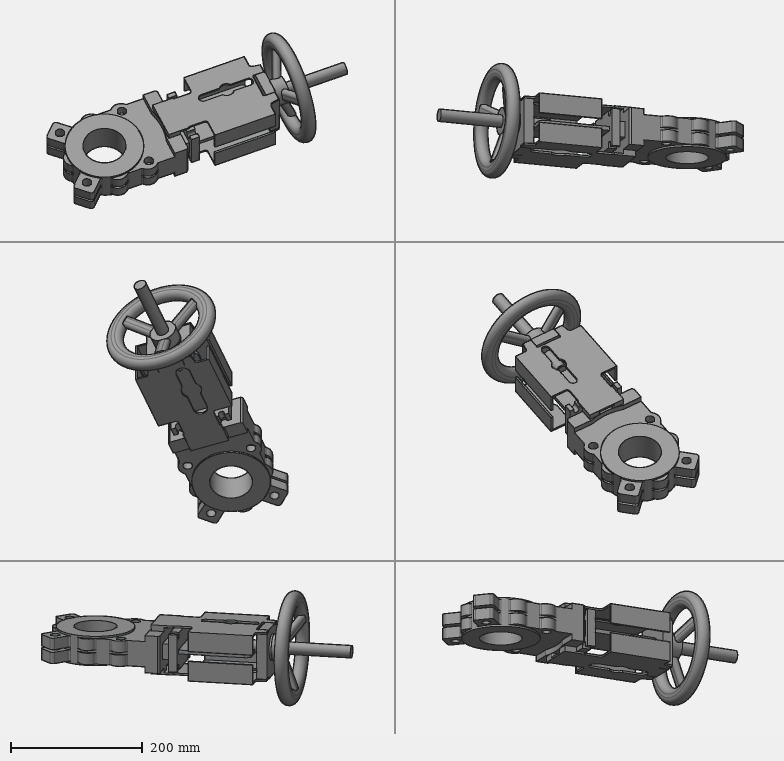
import cadquery as cq
import math


BORE_R = 32.5
SEAT_R = 60.0
SEAT_HALF = 23.0
BODY_HALF_WIDTH = 60.2
OUTLINE_TOLERANCE = 0.05
BODY_HALF = 20.0
BOLT_CIRCLE_R = 72.5
BOLT_HOLE_R = 7.0
BLIND_HOLE_DEPTH = 14.0
EAR_R = 16.0
UPPER_EAR_Y = 49.5
EAR_REACH = 66.5
LUG_WIDTH = 33.0
LUG_REACH = 89.0
LUG_CORNER_R = 5.0
LUG_ANGLES = (225, 315)
EAR_FILLET = 3.5
EAR_GROOVE = 4.2

BOX_BOTTOM = 90.5
BOX_TOP = 113.0
BOX_HALF = 29.0
BOX_CORNER = 3.0
BOX_RELIEF_R = 94.5

GLAND_BOTTOM = 124.0
GLAND_TOP = 137.0
GLAND_HALF_WIDTH = 46.5
GLAND_SLOT_X = 35.0
GLAND_SLOT_R = 4.45
GLAND_SLOT_DEPTH = 9.0
NECK_HALF_WIDTH = 39.0
NECK_HALF = 12.2

GATE_HALF_WIDTH = 36.2
GATE_THICKNESS = 6.0
GATE_TOP = 249.0
GATE_CORNER_R = 9.0

COVER_HALF = 38.5
COVER_THICKNESS = 3.05
COVER_TOP = 273.5
COVER_SHOULDER = 257.5
COVER_WING_BOTTOM = 157.0
COVER_STEP = 127.5
COVER_BOTTOM = 93.0
COVER_TOP_HALF_WIDTH = 35.5
COVER_SHOULDER_HALF_WIDTH = 38.0
COVER_WING_HALF_WIDTH = 59.5
COVER_NECK_HALF_WIDTH = 28.5
COVER_FOOT_HALF_WIDTH = 30.5
COVER_FILLET = 4.5
FLANGE_END = 7.75
FOOT_GAP_HALF_WIDTH = 11.5
FOOT_EDGE_R = 2.5
SLOT_X = -12.5
SLOT_HALF_WIDTH = 6.5
SLOT_BOTTOM = 162.0
SLOT_TOP = 251.5
SLOT_EYE_Y = 207.5
SLOT_EYE_R = 11.5
LOWER_SLOT_MARGIN = 4.2

YOKE_BOTTOM = 258.5
YOKE_TOP = 274.5
YOKE_HALF = COVER_HALF - COVER_THICKNESS
TAB_HALF_WIDTH = 20.5
TAB_CLEARANCE = 0.5
UPPER_NOTCH_BOTTOM = 254.5
NOTCH_CORNER = 2.0

TOTAL_LENGTH = 470.5
STEM_Z = 6.0
STEM_R = 9.65
STEM_BOTTOM = 220.5
STEM_CHAMFER = 1.5
COLLAR_R = 20.47
COLLAR_TOP = 277.5
HUB_R = 20.95
HUB_TOP = 299.0
WHEEL_Y = 305.5
WHEEL_R = 87.5
RIM_R = 10.1
RIM_FLAT = 5.5
SPOKE_ANGLES = (30, 150, 270)
SPOKE_WIDTH = 19.5
SPOKE_THICKNESS = 12.2
SPOKE_TILT = 20
SPOKE_REACH = 66.0
SPOKE_START_Y = 285.0


def block(half_width, y_low, y_high, half_thickness):
    """Box centred on X = 0 and Z = 0 between two Y values."""
    return (
        cq.Workplane("XY")
        .box(2 * half_width, y_high - y_low, 2 * half_thickness)
        .translate((0, (y_low + y_high) / 2, 0))
    )


def disc(x, y, radius, half_thickness):
    """Cylinder along Z, centred on the mid-plane."""
    return (
        cq.Workplane("XY", origin=(x, y, -half_thickness))
        .circle(radius)
        .extrude(2 * half_thickness)
    )


def turned(radius, y_low, y_high):
    """Cylinder around the stem axis."""
    return (
        cq.Workplane("XZ", origin=(0, y_low, STEM_Z))
        .circle(radius)
        .extrude(y_low - y_high)
    )


BOLT_XY = BOLT_CIRCLE_R / math.sqrt(2)
EAR_CENTRE = EAR_REACH - EAR_R
LUG_DROP = (LUG_REACH + LUG_WIDTH / 2) / math.sqrt(2) - LUG_CORNER_R * (math.sqrt(2) - 1)
STEM_TOP = TOTAL_LENGTH - LUG_DROP
GROOVE_CUTTER_R = math.hypot(LUG_REACH - BOLT_CIRCLE_R, LUG_WIDTH / 2)


def on_core_outline(edge):
    """True for an edge on the outline of the body without ears."""
    centre = edge.Center()
    if centre.y > 0:
        gap = abs(centre.x) - BODY_HALF_WIDTH
    else:
        gap = math.hypot(centre.x, centre.y) - SEAT_R
    return abs(gap) < OUTLINE_TOLERANCE and centre.y < BOX_BOTTOM


def make_lug(angle):
    lug = (
        cq.Workplane("XY")
        .box(LUG_REACH, LUG_WIDTH, 2 * BODY_HALF)
        .translate((LUG_REACH / 2, 0, 0))
        .edges("|Z and >X")
        .fillet(LUG_CORNER_R)
    )
    return lug.rotate((0, 0, 0), (0, 0, 1), angle)


def make_body():
    box = block(BODY_HALF_WIDTH, BOX_BOTTOM, BOX_TOP, BOX_HALF)
    box = box.cut(disc(0, 0, BOX_RELIEF_R, BOX_HALF))

    core = block(BODY_HALF_WIDTH, 0, BOX_TOP, BODY_HALF).union(box)
    core = core.edges("|Z and >Y").chamfer(BOX_CORNER)
    core = core.union(disc(0, 0, SEAT_R, SEAT_HALF))

    body = core
    ear_centres = [
        (-EAR_CENTRE, UPPER_EAR_Y),
        (EAR_CENTRE, UPPER_EAR_Y),
        (-EAR_CENTRE, 0),
        (EAR_CENTRE, 0),
        (0, -EAR_CENTRE),
    ]
    for x, y in ear_centres:
        body = body.union(disc(x, y, EAR_R, BODY_HALF))
    for angle in LUG_ANGLES:
        body = body.union(make_lug(angle))
    junctions = [edge for edge in body.edges("|Z").vals() if on_core_outline(edge)]
    body = body.newObject(junctions).fillet(EAR_FILLET)

    groove_centres = ear_centres + [(-BOLT_XY, -BOLT_XY), (BOLT_XY, -BOLT_XY)]
    for x, y in groove_centres:
        groove = disc(x, y, GROOVE_CUTTER_R, EAR_GROOVE / 2).cut(core)
        body = body.cut(groove)
    return body


def drill_body(body):
    body = body.cut(disc(0, 0, BORE_R, SEAT_HALF))
    for x in (-BOLT_XY, BOLT_XY):
        body = body.cut(disc(x, -BOLT_XY, BOLT_HOLE_R, BODY_HALF))
        web = disc(x, BOLT_XY, BOLT_HOLE_R, BODY_HALF - BLIND_HOLE_DEPTH)
        body = body.cut(disc(x, BOLT_XY, BOLT_HOLE_R, BODY_HALF).cut(web))
    return body


def make_gland():
    gland = block(GLAND_HALF_WIDTH, GLAND_BOTTOM, GLAND_TOP, BOX_HALF)
    slot_length = 2 * GLAND_SLOT_DEPTH
    for x in (-GLAND_SLOT_X, GLAND_SLOT_X):
        for z in (-BOX_HALF, BOX_HALF):
            slot = (
                cq.Workplane("XZ", origin=(x, GLAND_TOP, z))
                .slot2D(slot_length, 2 * GLAND_SLOT_R, 90)
                .extrude(GLAND_TOP - GLAND_BOTTOM)
            )
            gland = gland.cut(slot)
    return gland.union(block(NECK_HALF_WIDTH, BOX_TOP, GLAND_BOTTOM, NECK_HALF))


def make_gate():
    gate = block(GATE_HALF_WIDTH, BOX_BOTTOM, GATE_TOP, GATE_THICKNESS / 2)
    return gate.edges("|Z and >Y").fillet(GATE_CORNER_R)


def make_cover(notch_bottom, slot_margin):
    """Upper cover plate with its side flanges, its feet and a notch for the yoke tab."""
    half_outline = [
        (COVER_TOP_HALF_WIDTH, COVER_TOP),
        (COVER_SHOULDER_HALF_WIDTH, COVER_SHOULDER),
        (COVER_WING_HALF_WIDTH, COVER_SHOULDER),
        (COVER_WING_HALF_WIDTH, COVER_WING_BOTTOM),
        (COVER_NECK_HALF_WIDTH, COVER_WING_BOTTOM),
        (COVER_NECK_HALF_WIDTH, COVER_STEP),
        (COVER_FOOT_HALF_WIDTH, COVER_STEP),
        (COVER_FOOT_HALF_WIDTH, COVER_BOTTOM),
    ]
    mirrored = [(-x, y) for x, y in reversed(half_outline)]
    inner_z = COVER_HALF - COVER_THICKNESS
    plate = (
        cq.Workplane("XY", origin=(0, 0, inner_z))
        .polyline(half_outline + mirrored)
        .close()
        .extrude(COVER_THICKNESS)
    )
    for x, y in (half_outline[1], half_outline[4]):
        for side in (-x, x):
            corner = cq.selectors.NearestToPointSelector((side, y, COVER_HALF - COVER_THICKNESS / 2))
            plate = plate.edges("|Z").edges(corner).fillet(COVER_FILLET)

    slot_middle = (SLOT_BOTTOM + SLOT_TOP) / 2
    slot = (
        cq.Workplane("XY", origin=(SLOT_X, slot_middle, inner_z))
        .slot2D(SLOT_TOP - SLOT_BOTTOM + 2 * slot_margin, 2 * (SLOT_HALF_WIDTH + slot_margin), 90)
        .extrude(COVER_THICKNESS)
    )
    eye = disc(SLOT_X, SLOT_EYE_Y, SLOT_EYE_R + slot_margin, COVER_HALF)
    plate = plate.cut(slot).cut(eye)

    notch = block(TAB_HALF_WIDTH + TAB_CLEARANCE, notch_bottom, COVER_TOP, COVER_HALF)
    plate = plate.cut(notch.edges("|Z and <Y").fillet(NOTCH_CORNER))

    flange_length = COVER_SHOULDER - COVER_WING_BOTTOM
    flange_height = COVER_HALF - FLANGE_END
    for side in (-1, 1):
        flange = cq.Workplane("XY").box(COVER_THICKNESS, flange_length, flange_height)
        plate = plate.union(flange.translate((
            side * (COVER_WING_HALF_WIDTH - COVER_THICKNESS / 2),
            COVER_WING_BOTTOM + flange_length / 2,
            FLANGE_END + flange_height / 2,
        )))

        foot_width = COVER_FOOT_HALF_WIDTH - FOOT_GAP_HALF_WIDTH
        foot_length = BOX_TOP - COVER_BOTTOM
        foot_height = COVER_HALF - BOX_HALF
        foot = cq.Workplane("XY").box(foot_width, foot_length, foot_height)
        inner_edge = "<X" if side > 0 else ">X"
        foot = foot.edges(f"|Z and <Y and {inner_edge}").fillet(FOOT_EDGE_R)
        plate = plate.union(foot.translate((
            side * (FOOT_GAP_HALF_WIDTH + foot_width / 2),
            COVER_BOTTOM + foot_length / 2,
            BOX_HALF + foot_height / 2,
        )))
    return plate


def make_yoke():
    yoke = block(COVER_TOP_HALF_WIDTH, YOKE_BOTTOM, YOKE_TOP, YOKE_HALF)
    return yoke.union(block(TAB_HALF_WIDTH, YOKE_BOTTOM, YOKE_TOP, COVER_HALF))


def make_stem():
    stem = turned(STEM_R, STEM_BOTTOM, STEM_TOP).faces("<Y").chamfer(STEM_CHAMFER)
    return stem.union(turned(COLLAR_R, YOKE_TOP, COLLAR_TOP))


def make_handwheel():
    outer_arc_r = WHEEL_R - RIM_R
    inner_arc_r = outer_arc_r - RIM_FLAT
    rim_middle_r = (outer_arc_r + inner_arc_r) / 2
    rim = (
        cq.Workplane("XY")
        .center(rim_middle_r, WHEEL_Y)
        .slot2D(RIM_FLAT + 2 * RIM_R, 2 * RIM_R)
        .revolve(360, (-rim_middle_r, 0, 0), (-rim_middle_r, 1, 0))
        .translate((0, 0, STEM_Z))
    )

    spoke_length = SPOKE_REACH / math.cos(math.radians(SPOKE_TILT))
    spoke = (
        cq.Workplane("YZ")
        .slot2D(SPOKE_WIDTH, SPOKE_THICKNESS, 90)
        .extrude(spoke_length)
        .rotate((0, 0, 0), (0, 0, 1), SPOKE_TILT)
        .translate((0, SPOKE_START_Y, STEM_Z))
    )
    wheel = rim.union(turned(HUB_R, COLLAR_TOP, HUB_TOP))
    for angle in SPOKE_ANGLES:
        wheel = wheel.union(spoke.rotate((0, 0, STEM_Z), (0, 1, STEM_Z), -angle))
    return wheel


valve = make_body().union(make_gland()).union(make_gate())
valve = drill_body(valve)
valve = valve.union(make_cover(UPPER_NOTCH_BOTTOM, 0))
valve = valve.union(make_cover(YOKE_BOTTOM, LOWER_SLOT_MARGIN).mirror("XY"))
valve = valve.union(make_yoke())
result = valve.union(make_stem()).union(make_handwheel())